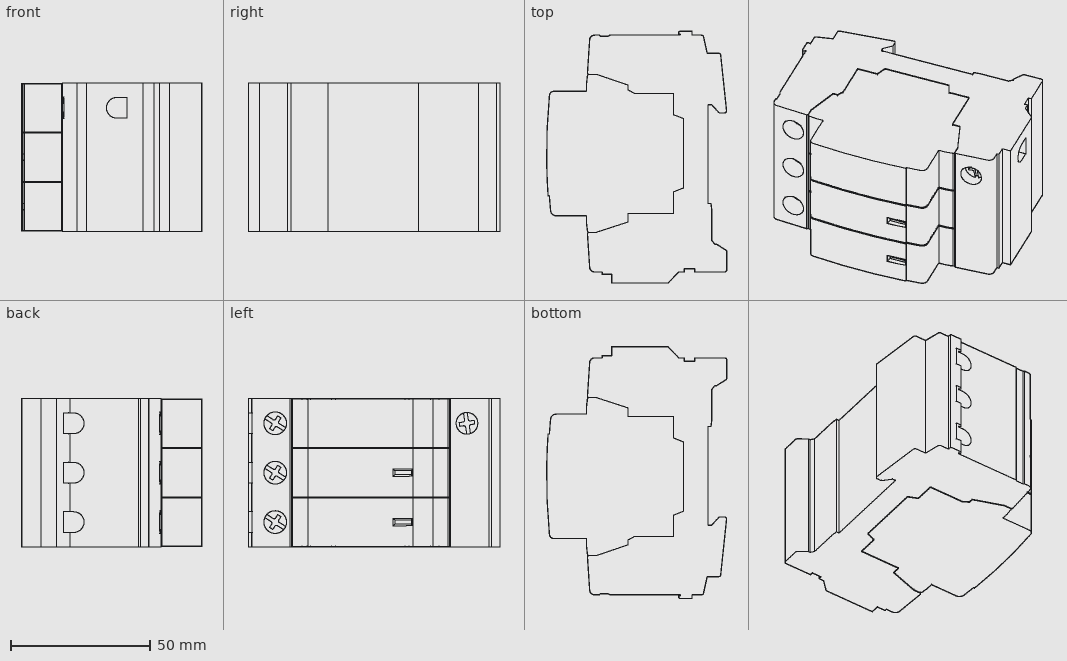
import cadquery as cq
import math

DEPTH = 64.8
HEIGHT = 90.5
WIDTH = 53.4

MODULE_COUNT = 3
MODULE_PITCH = 17.7
MODULE_CENTERS = [WIDTH / 2 + (i - (MODULE_COUNT - 1) / 2) * MODULE_PITCH for i in range(MODULE_COUNT)]

SEAM_BOTTOM = 18.3
SEAM_TOP = 75.0
SEAM_X = 14.9
SEAM_CHAMFER_X = 0.3
SEAM_CHAMFER_Y = 0.45
SEAM_LEAD_X = 17.9
SEAM_WING_X = 29.3
WING_BOTTOM = 22.0
WING_TOP = 71.1
POCKET_X = 45.5
POCKET_BOTTOM = 25.0
POCKET_TOP = 68.15
POCKET_CHAMFER_X = 2.3
POCKET_CHAMFER_Y = 1.3
TONGUE_X = 49.2
TONGUE_BOTTOM = 34.2
TONGUE_TOP = 59.1
TONGUE_SLOPE = 1.45

INSERT_SIDE_GAP = 0.3
FRONT_BOTTOM = 24.2
FRONT_TOP = 69.0
FRONT_RADIUS = 218.1
FRONT_STEP_Y = 31.3
FRONT_STEP_DEPTH = 0.45
FRONT_TOP_RADIUS = 1.7
FRONT_BOTTOM_RADIUS = 2.1
SHOULDER_X = 14.3
SHOULDER_STRAIGHT = 2.5
MODULE_GAP = 0.3
MODULE_GAP_DEPTH = 0.45

WINDOW_MODULES = MODULE_CENTERS[:2]
WINDOW_LENGTH = 7.15
WINDOW_WIDTH = 2.7
WINDOW_INSET = 0.6
WINDOW_TAPER_DEPTH = 1.1
WINDOW_DEPTH = 2.0

LEDGE_BOTTOM = 4.0
LEDGE_TOP = 89.1
NOSE_X = 15.6
NOSE_RADIUS = 1.9
BACK_X = 58.0

SCREW_BOTTOM_Y = 11.95
SCREW_BOTTOM_RADIUS = 3.9
SCREW_BOTTOM_FLOOR_X = 19.1
SCREW_BOTTOM_ANGLE = 81.0
SCREW_TOP_Y = 80.8
SCREW_TOP_RADIUS = 4.1
SCREW_TOP_FLOOR_X = 22.8
SCREW_TOP_ANGLE = 32.6
DRIVE_WIDTH = 1.4
DRIVE_CROSS_LENGTH = 5.4
DRIVE_DEPTH = 1.1
DRIVE_CORNER_RADIUS = 0.6
WIRE_SIZE = 7.4
WIRE_DEPTH = 9.05
WIRE_BOTTOM_FLAT_X = 37.9
WIRE_TOP_FLAT_X = 49.8


def rounded_outline(corners):
    """Closed XY outline through (x, y) or (x, y, radius) corners; a radius rounds its corner."""
    stretches = []
    for i, corner in enumerate(corners):
        x, y = corner[:2]
        if len(corner) == 2:
            stretches.append([(x, y)])
            continue
        radius = corner[2]
        here = cq.Vector(x, y)
        to_last = (cq.Vector(*corners[i - 1][:2]) - here).normalized()
        to_next = (cq.Vector(*corners[(i + 1) % len(corners)][:2]) - here).normalized()
        half_angle = to_last.getAngle(to_next) / 2
        trim = radius / math.tan(half_angle)
        bisector = (to_last + to_next).normalized()
        middle = here + bisector * (radius / math.sin(half_angle) - radius)
        points = [here + to_last * trim, middle, here + to_next * trim]
        stretches.append([(p.x, p.y) for p in points])
    outline = cq.Workplane("XY").moveTo(*stretches[0][-1])
    for stretch in stretches[1:] + stretches[:1]:
        outline = outline.lineTo(*stretch[0])
        if len(stretch) > 1:
            outline = outline.threePointArc(stretch[1], stretch[2])
    return outline.close()


def seam_path():
    """Points of the line where insert and housing meet, from the bottom front to the top front."""
    return [
        (SEAM_X, SEAM_BOTTOM),
        (SEAM_LEAD_X, SEAM_BOTTOM),
        (SEAM_WING_X, WING_BOTTOM),
        (SEAM_WING_X, POCKET_BOTTOM),
        (POCKET_X, POCKET_BOTTOM),
        (POCKET_X, TONGUE_BOTTOM - TONGUE_SLOPE),
        (TONGUE_X, TONGUE_BOTTOM),
        (TONGUE_X, TONGUE_TOP),
        (POCKET_X, TONGUE_TOP + TONGUE_SLOPE),
        (POCKET_X, POCKET_TOP),
        (SEAM_WING_X + POCKET_CHAMFER_X, POCKET_TOP),
        (SEAM_WING_X, POCKET_TOP + POCKET_CHAMFER_Y),
        (SEAM_WING_X, WING_TOP),
        (SEAM_LEAD_X, SEAM_TOP),
        (SEAM_X, SEAM_TOP),
    ]


def front_x(y):
    """X of the bowed front face at height y."""
    from_middle = y - (FRONT_BOTTOM + FRONT_TOP) / 2
    return FRONT_RADIUS - math.sqrt(FRONT_RADIUS**2 - from_middle**2)


def insert_outline():
    """Outline of the insert: seam, shoulders and the bowed, stepped front."""
    lip_x = SEAM_X - SEAM_CHAMFER_X
    above_step = (FRONT_TOP + FRONT_STEP_Y) / 2
    below_step = (FRONT_STEP_Y + FRONT_BOTTOM) / 2
    outline = cq.Workplane("XY").polyline(seam_path())
    outline = (
        outline.lineTo(lip_x, SEAM_TOP - SEAM_CHAMFER_Y)
        .lineTo(SHOULDER_X, FRONT_TOP + SHOULDER_STRAIGHT)
        .lineTo(SHOULDER_X, FRONT_TOP)
        .lineTo(front_x(FRONT_TOP), FRONT_TOP)
        .threePointArc((front_x(above_step), above_step), (front_x(FRONT_STEP_Y), FRONT_STEP_Y))
        .lineTo(front_x(FRONT_STEP_Y) + FRONT_STEP_DEPTH, FRONT_STEP_Y)
        .threePointArc(
            (front_x(below_step) + FRONT_STEP_DEPTH, below_step),
            (front_x(FRONT_BOTTOM) + FRONT_STEP_DEPTH, FRONT_BOTTOM),
        )
        .lineTo(SHOULDER_X, FRONT_BOTTOM)
        .lineTo(SHOULDER_X, FRONT_BOTTOM - SHOULDER_STRAIGHT)
        .lineTo(lip_x, SEAM_BOTTOM + SEAM_CHAMFER_Y)
    )
    return outline.close()


def insert_block():
    """Plain insert with its two front corners rounded."""
    width = WIDTH - 2 * INSERT_SIDE_GAP
    block = insert_outline().extrude(width).translate((0, 0, INSERT_SIDE_GAP))
    corners = [
        (front_x(FRONT_TOP), FRONT_TOP, WIDTH / 2, FRONT_TOP_RADIUS),
        (front_x(FRONT_BOTTOM) + FRONT_STEP_DEPTH, FRONT_BOTTOM, WIDTH / 2, FRONT_BOTTOM_RADIUS),
    ]
    for x, y, z, radius in corners:
        block = block.edges(cq.selectors.NearestToPointSelector((x, y, z))).fillet(radius)
    return block


def module_gap(block, z):
    """Shallow groove around the insert, centred on the parting height z."""
    outline = block.faces("<Z").wires().toPending()
    core = outline.offset2D(-MODULE_GAP_DEPTH).extrude(WIDTH, both=True, combine=False)
    slab = cq.Workplane("XY").box(2 * DEPTH, 2 * HEIGHT, MODULE_GAP).translate((0, 0, z))
    return slab.cut(core)


def indicator_window(z):
    """Window just above the front step: tapered mouth, then a straight pocket."""
    y = FRONT_STEP_Y + WINDOW_LENGTH / 2
    face_x = front_x(y)
    inner_length = WINDOW_LENGTH - 2 * WINDOW_INSET
    inner_width = WINDOW_WIDTH - 2 * WINDOW_INSET
    plane = cq.Plane(origin=(0, y, z), xDir=(0, 1, 0), normal=(1, 0, 0))
    mouth = (
        cq.Workplane(plane)
        .workplane(offset=face_x)
        .rect(WINDOW_LENGTH, WINDOW_WIDTH)
        .workplane(offset=WINDOW_TAPER_DEPTH)
        .rect(inner_length, inner_width)
        .loft(ruled=True)
    )
    opening = cq.Workplane(plane).rect(WINDOW_LENGTH, WINDOW_WIDTH).extrude(face_x)
    pocket = cq.Workplane(plane).rect(inner_length, inner_width).extrude(face_x + WINDOW_DEPTH)
    return mouth.union(opening).union(pocket)


def make_insert():
    """Three-module insert carrying the front face, module gaps and indicator windows."""
    block = insert_block()
    insert = block
    for lower, upper in zip(MODULE_CENTERS, MODULE_CENTERS[1:]):
        insert = insert.cut(module_gap(block, (lower + upper) / 2))
    for z in WINDOW_MODULES:
        insert = insert.cut(indicator_window(z))
    return insert


def housing_outline():
    """Outline of the housing, counter-clockwise from the lower seam lip."""
    lip_x = SEAM_X - SEAM_CHAMFER_X
    lower_front = [
        (lip_x, SEAM_BOTTOM - SEAM_CHAMFER_Y),
        (NOSE_X, LEDGE_BOTTOM, NOSE_RADIUS),
    ]
    lower_side = [
        (20.0, LEDGE_BOTTOM),
        (20.0, 3.2),
        (23.35, 3.2),
        (23.35, 0),
        (43.6, 0),
        (47.5, LEDGE_BOTTOM),
        (49.5, LEDGE_BOTTOM),
        (49.5, 5.2),
        (53.2, 5.2),
        (53.2, LEDGE_BOTTOM),
    ]
    lower_foot = [
        (DEPTH, LEDGE_BOTTOM, 0.9),
        (DEPTH, 11.7, 0.9),
        (61.1, 14.0),
        (60.45, 14.0),
        (59.4, 15.4),
        (59.4, 26.6),
        (59.1, 28.7),
        (BACK_X, 28.7),
    ]
    upper_hook = [
        (BACK_X, 64.1),
        (59.3, 64.1),
        (62.1, 61.1),
        (DEPTH, 61.1, 0.9),
        (62.5, 82.6, 0.8),
        (57.7, 82.6),
        (56.3, LEDGE_TOP, 0.8),
    ]
    upper_rib = [
        (52.3, LEDGE_TOP),
        (52.3, HEIGHT),
        (47.4, HEIGHT, 0.6),
        (47.4, 89.4),
        (48.0, 89.4),
        (48.0, LEDGE_TOP),
    ]
    upper_side = [
        (22.8, LEDGE_TOP),
        (22.2, 88.8),
        (19.3, 88.8),
        (19.0, LEDGE_TOP),
    ]
    upper_front = [
        (NOSE_X, LEDGE_TOP, NOSE_RADIUS),
        (lip_x, SEAM_TOP + SEAM_CHAMFER_Y),
    ]
    lower = lower_front + lower_side + lower_foot
    upper = upper_hook + upper_rib + upper_side + upper_front
    return rounded_outline(lower + upper + seam_path()[::-1])


def screw_access(y, z, radius, floor_x, angle):
    """Round screw hole from the front; its floor holds a slot and a short cross bar, turned by angle."""
    plane = cq.Plane(origin=(floor_x, y, z), xDir=(0, 1, 0), normal=(1, 0, 0))
    hole = cq.Workplane(plane).circle(radius).extrude(-floor_x)
    slot = cq.Workplane(plane).rect(2 * radius, DRIVE_WIDTH).extrude(DRIVE_DEPTH)
    cross = cq.Workplane(plane).rect(DRIVE_WIDTH, DRIVE_CROSS_LENGTH).extrude(DRIVE_DEPTH)
    near = (floor_x - DRIVE_DEPTH, y - DRIVE_WIDTH, z - DRIVE_WIDTH)
    far = (floor_x + 2 * DRIVE_DEPTH, y + DRIVE_WIDTH, z + DRIVE_WIDTH)
    drive = slot.union(cross).edges("|X").edges(cq.selectors.BoxSelector(near, far))
    drive = drive.fillet(DRIVE_CORNER_RADIUS)
    drive = drive.rotate((0, y, z), (1, y, z), angle)
    round_limit = cq.Workplane(plane).circle(radius).extrude(DRIVE_DEPTH)
    return hole.union(drive.intersect(round_limit))


def wire_entry(flat_x, z, start_y, length):
    """D-shaped wire hole along Y, round toward the front and flat at flat_x."""
    radius = WIRE_SIZE / 2
    center_x = flat_x - radius
    return (
        cq.Workplane("XZ", origin=(0, start_y + length, 0))
        .moveTo(flat_x, z - radius)
        .lineTo(flat_x, z + radius)
        .lineTo(center_x, z + radius)
        .threePointArc((center_x - radius, z), (center_x, z - radius))
        .close()
        .extrude(length)
    )


def make_housing():
    """Housing with three terminals at the top and one, in the last module, at the bottom."""
    housing = housing_outline().extrude(WIDTH)
    for z in MODULE_CENTERS:
        screw = screw_access(SCREW_TOP_Y, z, SCREW_TOP_RADIUS, SCREW_TOP_FLOOR_X, SCREW_TOP_ANGLE)
        wire = wire_entry(WIRE_TOP_FLAT_X, z, HEIGHT - WIRE_DEPTH, WIRE_DEPTH)
        housing = housing.cut(screw).cut(wire)
    z = MODULE_CENTERS[-1]
    screw = screw_access(
        SCREW_BOTTOM_Y, z, SCREW_BOTTOM_RADIUS, SCREW_BOTTOM_FLOOR_X, SCREW_BOTTOM_ANGLE
    )
    wire = wire_entry(WIRE_BOTTOM_FLAT_X, z, 0, WIRE_DEPTH)
    return housing.cut(screw).cut(wire)


housing = make_housing()
insert = make_insert()

result = cq.Compound.makeCompound([housing.val(), insert.val()])